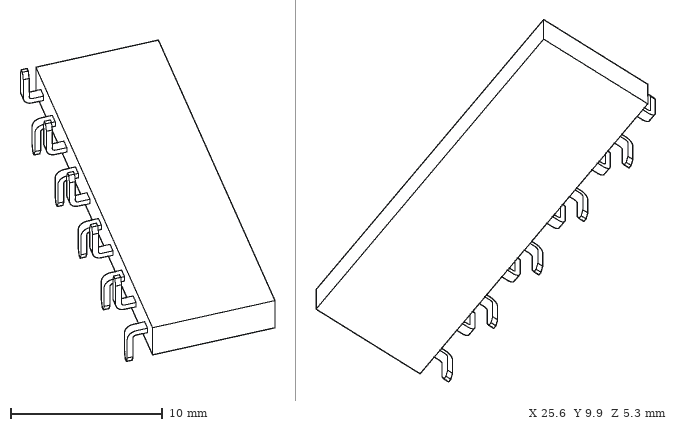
import cadquery as cq

HOUSING_LENGTH = 25.65
HOUSING_DEPTH = 8.5
HOUSING_HEIGHT = 2.55

PIN_COUNT = 10
PIN_PITCH = 2.55
PIN_WIDTH = 0.65
PIN_THICKNESS = 0.4
PIN_REACH = 1.4
PIN_SPAN = 5.3
INNER_BEND_RADIUS = 0.2
OUTER_BEND_RADIUS = INNER_BEND_RADIUS + PIN_THICKNESS

TIP_LENGTH = 0.51
TIP_WIDTH = 0.25


def make_housing():
    block = cq.Workplane("XY").box(HOUSING_LENGTH, HOUSING_DEPTH, HOUSING_HEIGHT)
    return block.translate((0, HOUSING_DEPTH / 2, 0))


def make_upward_pin():
    """L-shaped pin centred on X = 0, with its foot on the housing front face."""
    half_thickness = PIN_THICKNESS / 2
    half_width = PIN_WIDTH / 2
    leg_top = PIN_SPAN / 2
    leg_back = PIN_THICKNESS - PIN_REACH

    bent_strip = (
        cq.Workplane("YZ")
        .moveTo(0, -half_thickness)
        .lineTo(OUTER_BEND_RADIUS - PIN_REACH, -half_thickness)
        .radiusArc((-PIN_REACH, OUTER_BEND_RADIUS - half_thickness), OUTER_BEND_RADIUS)
        .lineTo(-PIN_REACH, leg_top)
        .lineTo(leg_back, leg_top)
        .lineTo(leg_back, half_thickness + INNER_BEND_RADIUS)
        .radiusArc((leg_back + INNER_BEND_RADIUS, half_thickness), -INNER_BEND_RADIUS)
        .lineTo(0, half_thickness)
        .close()
        .extrude(half_width, both=True)
    )

    front_outline = (
        cq.Workplane("XZ")
        .polyline([
            (-half_width, -half_thickness),
            (half_width, -half_thickness),
            (half_width, leg_top - TIP_LENGTH),
            (TIP_WIDTH / 2, leg_top),
            (-TIP_WIDTH / 2, leg_top),
            (-half_width, leg_top - TIP_LENGTH),
        ])
        .close()
        .extrude(PIN_REACH)
    )
    return bent_strip.intersect(front_outline)


upward_pin = make_upward_pin()
downward_pin = upward_pin.mirror("XY")
first_pin_x = -PIN_PITCH * (PIN_COUNT - 1) / 2

result = make_housing()
for index in range(PIN_COUNT):
    pin = upward_pin if index % 2 == 0 else downward_pin
    result = result.union(pin.translate((first_pin_x + index * PIN_PITCH, 0, 0)))